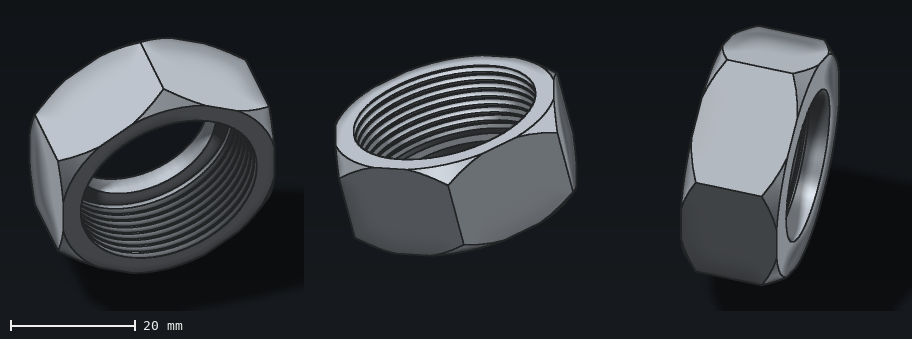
import cadquery as cq

corner_diameter = 41.55
thickness = 16.0
corner_chamfer = 2.5

lip_radius = 12.5
lip_length = 3.45
bore_radius = 15.0

pitch = 1.5
groove_count = 8
thread_depth = 0.85
crest_width = 0.37
root_width = 0.2
end_land = 0.05

half_thickness = thickness / 2


def hexagon_blank():
    """Hexagonal prism centred on the origin."""
    return (
        cq.Workplane("YZ")
        .polygon(6, corner_diameter)
        .extrude(half_thickness, both=True)
        .rotate((0, 0, 0), (1, 0, 0), 90)
    )


def chamfer_envelope():
    """Turned cylinder whose chamfered rims round off the hexagon corners."""
    return (
        cq.Workplane("YZ")
        .circle(corner_diameter / 2)
        .extrude(half_thickness, both=True)
        .faces("<X or >X")
        .chamfer(corner_chamfer)
    )


def stepped_opening():
    """Lip hole right through, widened to the bore behind the lip."""
    lip_hole = cq.Workplane("YZ").circle(lip_radius).extrude(half_thickness, both=True)
    lip_end_x = -half_thickness + lip_length
    bore = (
        cq.Workplane("YZ", origin=(lip_end_x, 0, 0))
        .circle(bore_radius)
        .extrude(thickness - lip_length)
    )
    return lip_hole.union(bore)


def thread_groove(center_x):
    """Ring of trapezoidal section, filled to the axis, around center_x."""
    half_mouth = (pitch - crest_width) / 2
    half_root = root_width / 2
    root_radius = bore_radius + thread_depth
    profile = [
        (center_x - half_mouth, 0),
        (center_x - half_mouth, bore_radius),
        (center_x - half_root, root_radius),
        (center_x + half_root, root_radius),
        (center_x + half_mouth, bore_radius),
        (center_x + half_mouth, 0),
    ]
    return cq.Workplane("XY").polyline(profile).close().revolve(360, (0, 0, 0), (1, 0, 0))


result = hexagon_blank().intersect(chamfer_envelope()).cut(stepped_opening())

last_groove_x = half_thickness - end_land - (pitch - crest_width) / 2
for index in range(groove_count):
    result = result.cut(thread_groove(last_groove_x - index * pitch))